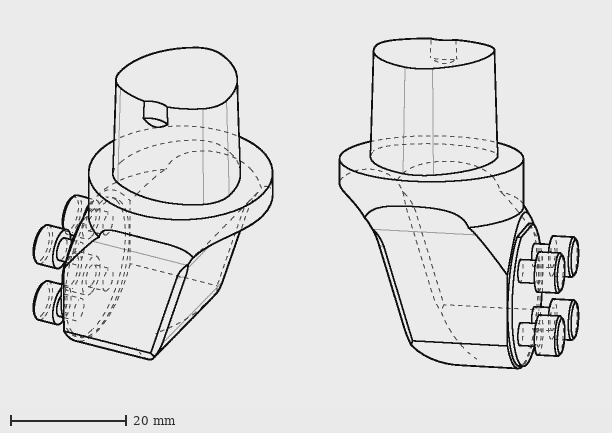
import math

import cadquery as cq

flange_radius = 16.0
flange_wall_depth = 8.6
cone_angle = 30.0

face_x = -16.25
head_half_width = 12.85
head_bottom_z = -36.3
keel_radius = 15.5
side_fillet_radius = 6.0
side_fillet_z = -9.8

back_slope = 17.0
back_fillet_radius = 8.9
back_fillet_top_z = -4.4
heel_radius = 12.5

corner_chamfer = 1.15
runout_z = -12.9
runout_radius = 8.0
runout_sweep = 60.0

shank_height = 19.0
lobe_reach = 11.8
flat_reach = 10.4
lobe_radius = 6.0
shank_inset = 0.55

notch_radius = 4.0
notch_inner_y = -9.0
notch_depth = 3.45
notch_tip_angle = 45.0

plate_thickness = 0.75
plate_radius = 12.5
plate_z = -23.45
plate_flat_height = 11.5
screw_circle_radius = 8.0
screw_radius = 2.0
screw_head_radius = 3.5
screw_head_length = 4.0
screw_head_gap = 3.25
screw_head_chamfer = 0.4

back_fillet_z = back_fillet_top_z - back_fillet_radius
back_tangent_x = flange_radius - back_fillet_radius * math.cos(math.radians(back_slope))
back_tangent_z = back_fillet_z + back_fillet_radius * math.sin(math.radians(back_slope))
plate_outer_x = face_x - plate_thickness


def polar(radius, angle):
    """Cartesian pair for a radius and an angle in degrees."""
    return (radius * math.cos(math.radians(angle)), radius * math.sin(math.radians(angle)))


def revolved_envelope():
    """Flange wall with the shoulder cone flaring out below it."""
    cone_height = -flange_wall_depth - head_bottom_z
    cone_radius = flange_radius + cone_height * math.tan(math.radians(cone_angle))
    return (
        cq.Workplane("XZ")
        .lineTo(flange_radius, 0)
        .lineTo(flange_radius, -flange_wall_depth)
        .lineTo(cone_radius, head_bottom_z)
        .lineTo(0, head_bottom_z)
        .close()
        .revolve(360, (0, 0), (0, 1))
    )


def back_x(z):
    """X of the flat sloped back at height z."""
    return back_tangent_x + (z - back_tangent_z) * math.tan(math.radians(back_slope))


def side_profile():
    """X-Z outline: flat face, underside, sloped back and fillet up to the flange."""
    mid_dx, mid_dz = polar(back_fillet_radius, 135 - back_slope / 2)
    heel_x = back_x(head_bottom_z)
    return (
        cq.Workplane("XZ")
        .moveTo(face_x, 0)
        .lineTo(face_x, head_bottom_z)
        .lineTo(heel_x, head_bottom_z)
        .lineTo(back_tangent_x, back_tangent_z)
        .threePointArc(
            (flange_radius + mid_dx, back_fillet_z + mid_dz),
            (flange_radius, back_fillet_top_z),
        )
        .lineTo(flange_radius, 0)
        .close()
        .extrude(flange_radius, both=True)
        .edges(cq.selectors.NearestToPointSelector((heel_x, 0, head_bottom_z)))
        .fillet(heel_radius)
    )


def corner_cutter():
    """Cutter for the chamfer on the -Y back corner, swept level at 45 degrees in plan.

    Its outline lies in the vertical plane square to the chamfer in plan, where the slope
    of the back appears shortened by sqrt(2).
    """
    start = cq.Vector(back_x(runout_z) - corner_chamfer, -head_half_width, runout_z)
    plane = cq.Plane(origin=start, xDir=(1, -1, 0), normal=(-1, -1, 0))
    lean = math.degrees(math.atan(math.tan(math.radians(back_slope)) / math.sqrt(2)))
    drop = runout_z - head_bottom_z
    foot_x = -drop * math.tan(math.radians(lean))
    centre_x, centre_z = polar(runout_radius, -lean)

    def runout_point(angle):
        dx, dz = polar(runout_radius, 180 - lean - angle)
        return (centre_x + dx, centre_z + dz)

    end_x, end_z = runout_point(runout_sweep)
    return (
        cq.Workplane(plane)
        .moveTo(foot_x, -drop)
        .lineTo(0, 0)
        .threePointArc(runout_point(runout_sweep / 2), (end_x, end_z))
        .lineTo(end_x, -drop)
        .close()
        .extrude(flange_radius, both=True)
    )


def end_profile():
    """Y-Z outline: flange width, side fillets, flat sides and round underside."""
    fillet_y = head_half_width + side_fillet_radius
    flare = fillet_y - flange_radius
    end_z = side_fillet_z + math.sqrt(side_fillet_radius**2 - flare**2)
    mid_angle = (180 + math.degrees(math.acos(-flare / side_fillet_radius))) / 2
    mid_dy, mid_dz = polar(side_fillet_radius, mid_angle)
    mid_y = fillet_y + mid_dy
    mid_z = side_fillet_z + mid_dz
    keel_edge_z = head_bottom_z + keel_radius - math.sqrt(keel_radius**2 - head_half_width**2)
    return (
        cq.Workplane("YZ")
        .moveTo(-flange_radius, 0)
        .lineTo(flange_radius, 0)
        .lineTo(flange_radius, end_z)
        .threePointArc((mid_y, mid_z), (head_half_width, side_fillet_z))
        .lineTo(head_half_width, keel_edge_z)
        .threePointArc((0, head_bottom_z), (-head_half_width, keel_edge_z))
        .lineTo(-head_half_width, side_fillet_z)
        .threePointArc((-mid_y, mid_z), (-flange_radius, end_z))
        .close()
        .extrude(2 * flange_radius, both=True)
    )


def lobed_outline(plane, inset):
    """Closed outline of three lobe arcs and three flank arcs, all tangent."""
    lobe_r = lobe_radius - inset
    lobe_offset = lobe_reach - lobe_radius
    flat_span = flat_reach - lobe_radius
    flank_offset = (lobe_offset**2 - flat_span**2) / (2 * flat_span - lobe_offset)

    def joint(lobe_angle, side):
        """Tangent point of a lobe with the flank centred at side * 120 degrees from it."""
        lobe_x, lobe_y = polar(lobe_offset, lobe_angle)
        flank_x, flank_y = polar(flank_offset, lobe_angle + side * 120)
        length = math.hypot(lobe_x - flank_x, lobe_y - flank_y)
        reach = lobe_r / length
        return (lobe_x + (lobe_x - flank_x) * reach, lobe_y + (lobe_y - flank_y) * reach)

    outline = plane.moveTo(*joint(90, 1))
    for lobe_angle in (90, 210, 330):
        lobe_tip = polar(lobe_reach - inset, lobe_angle)
        flank_middle = polar(flat_reach - inset, lobe_angle + 60)
        outline = outline.threePointArc(lobe_tip, joint(lobe_angle, -1))
        outline = outline.threePointArc(flank_middle, joint(lobe_angle + 120, 1))
    return outline.close()


def shank():
    """Tapered lobed shank with the notch cut at its top."""
    base = lobed_outline(cq.Workplane("XY"), 0)
    top = lobed_outline(base.workplane(offset=shank_height), shank_inset)
    return top.loft(ruled=True).cut(notch())


def notch():
    """Round groove open at the top, with a conical bottom."""
    tip_height = notch_radius / math.tan(math.radians(notch_tip_angle))
    floor_z = shank_height - notch_depth
    axis_y = notch_inner_y - notch_radius
    return (
        cq.Workplane("XZ", origin=(0, axis_y, 0))
        .moveTo(0, shank_height)
        .lineTo(notch_radius, shank_height)
        .lineTo(notch_radius, floor_z)
        .lineTo(0, floor_z - tip_height)
        .close()
        .revolve(360, (0, 0), (0, 1))
    )


def plate():
    """Round plate with its top cut flat."""
    side = 2 * plate_radius
    square_z = plate_z + plate_flat_height - plate_radius
    disc = cq.Workplane("YZ", origin=(face_x, 0, plate_z)).circle(plate_radius).extrude(-plate_thickness)
    square = cq.Workplane("YZ", origin=(face_x, 0, square_z)).rect(side, side).extrude(-plate_thickness)
    return disc.intersect(square)


def screw(y, z):
    """Stem standing out of the plate with a chamfered round head."""
    stem = cq.Workplane("YZ", origin=(plate_outer_x, y, z)).circle(screw_radius).extrude(-screw_head_gap)
    head = (
        cq.Workplane("YZ", origin=(plate_outer_x - screw_head_gap, y, z))
        .circle(screw_head_radius)
        .extrude(-screw_head_length)
        .faces("<X")
        .chamfer(screw_head_chamfer)
    )
    return stem.union(head)


result = revolved_envelope().intersect(side_profile()).intersect(end_profile())
result = result.cut(corner_cutter()).cut(corner_cutter().mirror("XZ"))
result = result.union(shank()).union(plate())
for angle in (45, 135, 225, 315):
    screw_y, screw_dz = polar(screw_circle_radius, angle)
    result = result.union(screw(screw_y, plate_z + screw_dz))